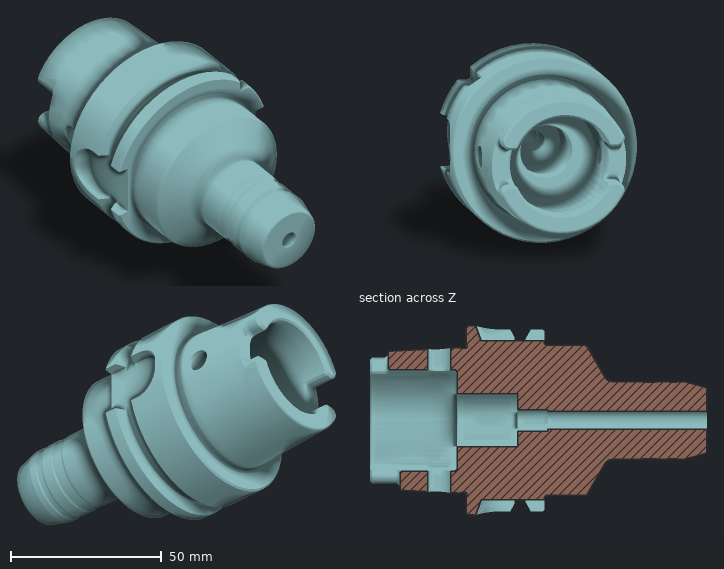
import cadquery as cq
import math


shank_length = 32.0
gauge_offset = 6.3
gauge_radius = 24.05
taper_slope = 0.05
taper_end_x = -2.15
relief_start_x = -1.2
relief_radius = 24.0
shank_end_round = 1.0

recess_depth = 0.25
recess_round = 0.75
recess_floor_radius = 24.8
recess_outer_radius = 25.5

flange_radius = 31.5
flange_width = 26.0
flange_chamfer = 0.6
flange_rear_chamfer = 0.5
groove_radius = 27.4
groove_wall_start = 16.05
groove_wall_end = 19.75
groove_wall_start_radius = 29.05
groove_wall_end_radius = 28.6
groove_flank_angle = 30.0

body_radius = 25.0
body_root_round = 1.0
cone_start_x = 40.0
cone_angle = 60.0
cone_start_round = 1.0
cone_end_round = 3.0
nose_radius = 13.0
nose_end_x = 80.0
tip_taper_x = 72.4
tip_taper_angle = 15.0
tip_round = 1.0

nose_bands = [(58.4, 63.4), (67.2, 70.2)]
band_depth = 0.25
band_edge_width = 0.7

bore_radius = 16.8
bore_depth = 29.0
bore_floor_round = 1.1
bore_mouth_chamfer = 0.6
thread_radius = 8.7
thread_depth = 20.0
thread_chamfer = 0.2
channel_radius = 2.9
channel_mouth_radius = 3.5
channel_mouth_depth = 10.0

drive_half_width = 6.1
drive_depth_front = 10.0
drive_depth_back = 6.0
drive_flare_radius = 2.85
drive_flare_tangent = 23.0
drive_floor_round = 1.5
drive_entry_chamfer = 0.75
drive_inner_y = bore_radius / 2

access_hole_radius = 3.75
access_hole_x = -9.0

keyway_half_width = 8.9
keyway_draft = 3.0
keyway_floor = 26.5
keyway_tip_x = 3.2
keyway_end_angle = 20.0
keyway_corner_radius = 8.0

notch_offset = 20.0
notch_end_radius = 8.0
notch_tangent_x = 12.85

clearance = 5.0
big = 2 * flange_radius


def taper_radius(x):
    return gauge_radius + taper_slope * (x + gauge_offset)


def tan_deg(angle):
    return math.tan(math.radians(angle))


def revolve_x(profile):
    """Revolve a closed half profile, drawn as (x, radius), about the X axis."""
    return profile.close().revolve(360, (0, 0, 0), (1, 0, 0))


def round_corner_edges(solid, x, radius, size):
    """Fillet the circular edge of the given radius at the given x."""
    tol = 0.05
    box = cq.selectors.BoxSelector(
        (x - tol, -radius - tol, -radius - tol), (x + tol, radius + tol, radius + tol)
    )
    return solid.edges(box).fillet(size)


def make_shank():
    end_radius = taper_radius(-shank_length)
    profile = (
        cq.Workplane("XY")
        .moveTo(-shank_length, 0)
        .lineTo(-shank_length, end_radius)
        .lineTo(taper_end_x, taper_radius(taper_end_x))
        .lineTo(relief_start_x, relief_radius)
        .lineTo(clearance, relief_radius)
        .lineTo(clearance, 0)
    )
    shank = round_corner_edges(revolve_x(profile), -shank_length, end_radius, shank_end_round)
    shank = shank.cut(make_drive_slot(-1, drive_depth_front))
    return shank.cut(make_drive_slot(1, drive_depth_back))


def make_flange():
    flank = tan_deg(groove_flank_angle)
    groove_start = groove_wall_start - (flange_radius - groove_wall_start_radius) * flank
    groove_end = groove_wall_end + (flange_radius - groove_wall_end_radius) * flank
    round_start = recess_depth - recess_round
    round_mid = recess_round * math.sqrt(0.5)
    profile = (
        cq.Workplane("XY")
        .moveTo(round_start, 0)
        .lineTo(round_start, relief_radius)
        .threePointArc(
            (round_start + round_mid, relief_radius + recess_round - round_mid),
            (recess_depth, relief_radius + recess_round),
        )
        .lineTo(recess_depth, recess_floor_radius)
        .lineTo(0, recess_outer_radius)
        .lineTo(0, flange_radius - flange_chamfer)
        .lineTo(flange_chamfer, flange_radius)
        .lineTo(groove_start, flange_radius)
        .lineTo(groove_wall_start, groove_wall_start_radius)
        .lineTo(groove_wall_start, groove_radius)
        .lineTo(groove_wall_end, groove_radius)
        .lineTo(groove_wall_end, groove_wall_end_radius)
        .lineTo(groove_end, flange_radius)
        .lineTo(flange_width - flange_rear_chamfer, flange_radius)
        .lineTo(flange_width, flange_radius - flange_rear_chamfer)
        .lineTo(flange_width, 0)
    )
    return revolve_x(profile)


def make_body_and_nose():
    cone_end_x = cone_start_x + (body_radius - nose_radius) / tan_deg(cone_angle)
    tip_radius = nose_radius - (nose_end_x - tip_taper_x) * tan_deg(tip_taper_angle)
    root_arc = body_root_round * (1 - math.sqrt(0.5))
    profile = (
        cq.Workplane("XY")
        .moveTo(flange_width, 0)
        .lineTo(flange_width, body_radius + body_root_round)
        .threePointArc(
            (flange_width + root_arc, body_radius + root_arc),
            (flange_width + body_root_round, body_radius),
        )
        .lineTo(cone_start_x, body_radius)
        .lineTo(cone_end_x, nose_radius)
        .lineTo(tip_taper_x, nose_radius)
        .lineTo(nose_end_x, tip_radius)
        .lineTo(nose_end_x, 0)
    )
    body = revolve_x(profile)
    body = round_corner_edges(body, cone_start_x, body_radius, cone_start_round)
    body = round_corner_edges(body, cone_end_x, nose_radius, cone_end_round)
    body = round_corner_edges(body, nose_end_x, tip_radius, tip_round)
    for start, end in nose_bands:
        body = body.cut(make_band(start, end))
    return body


def make_band(start, end):
    floor_radius = nose_radius - band_depth
    return revolve_x(
        cq.Workplane("XY")
        .moveTo(start, nose_radius)
        .lineTo(start + band_edge_width, floor_radius)
        .lineTo(end - band_edge_width, floor_radius)
        .lineTo(end, nose_radius)
        .lineTo(end, nose_radius + clearance)
        .lineTo(start, nose_radius + clearance)
    )


def make_bore():
    bore_floor_x = bore_depth - shank_length
    thread_end_x = bore_floor_x + thread_depth
    channel_mouth_x = thread_end_x + channel_mouth_depth
    arc = bore_floor_round * math.sqrt(0.5)
    return revolve_x(
        cq.Workplane("XY")
        .moveTo(-shank_length - clearance, 0)
        .lineTo(-shank_length - clearance, bore_radius)
        .lineTo(bore_floor_x - bore_floor_round, bore_radius)
        .threePointArc(
            (bore_floor_x - bore_floor_round + arc, bore_radius - bore_floor_round + arc),
            (bore_floor_x, bore_radius - bore_floor_round),
        )
        .lineTo(bore_floor_x, thread_radius + thread_chamfer)
        .lineTo(bore_floor_x + thread_chamfer, thread_radius)
        .lineTo(thread_end_x, thread_radius)
        .lineTo(thread_end_x, channel_mouth_radius)
        .lineTo(channel_mouth_x, channel_mouth_radius)
        .lineTo(channel_mouth_x, channel_radius)
        .lineTo(nose_end_x + clearance, channel_radius)
        .lineTo(nose_end_x + clearance, 0)
    )


def draw_drive_slot_section(plane, growth):
    """Draw the slot section, grown by an offset, with its mouth flaring into the shank surface."""
    half_width = drive_half_width + growth
    flare_radius = drive_flare_radius - growth
    center_z = drive_half_width + drive_flare_radius
    center_y = math.sqrt((drive_flare_tangent - drive_flare_radius) ** 2 - center_z**2)
    end_angle = math.atan2(center_z, center_y)
    mid_angle = (end_angle - math.pi / 2) / 2
    end_y = center_y + flare_radius * math.cos(end_angle)
    end_z = center_z + flare_radius * math.sin(end_angle)
    mid_y = center_y + flare_radius * math.cos(mid_angle)
    mid_z = center_z + flare_radius * math.sin(mid_angle)
    lip_y = end_y - clearance * math.sin(end_angle)
    lip_z = end_z + clearance * math.cos(end_angle)
    return (
        plane.moveTo(drive_inner_y, -half_width)
        .lineTo(drive_inner_y, half_width)
        .lineTo(center_y, half_width)
        .threePointArc((mid_y, mid_z), (end_y, end_z))
        .lineTo(lip_y, lip_z)
        .lineTo(flange_radius, lip_z)
        .lineTo(flange_radius, -lip_z)
        .lineTo(lip_y, -lip_z)
        .lineTo(end_y, -end_z)
        .threePointArc((mid_y, -mid_z), (center_y, -half_width))
        .close()
    )


def make_drive_slot(side, depth):
    """Slot in the shank end with rounded floor corners and a chamfered entry."""
    end_plane = cq.Workplane("YZ", origin=(-shank_length, 0, 0))
    slot = draw_drive_slot_section(end_plane, 0).extrude(depth)
    tol = 0.1
    floor_x = depth - shank_length
    floor_sides = cq.selectors.BoxSelector(
        (floor_x - tol, drive_inner_y + tol, -flange_radius),
        (floor_x + tol, flange_radius - tol, flange_radius),
    )
    slot = slot.edges(floor_sides).fillet(drive_floor_round)
    entry = draw_drive_slot_section(end_plane, drive_entry_chamfer)
    entry = entry.workplane(offset=drive_entry_chamfer)
    entry = draw_drive_slot_section(entry, 0).loft(ruled=True)
    slot = slot.union(entry)
    if side < 0:
        slot = slot.mirror("XZ")
    return slot


def make_keyway(side):
    """Flange keyway with drafted walls, a sloping end wall and rounded end corners."""
    end_slope = tan_deg(keyway_end_angle)
    outer_y = flange_radius + clearance
    top_x = keyway_tip_x - clearance * end_slope
    floor_x = keyway_tip_x + (flange_radius - keyway_floor) * end_slope
    outer_half_width = keyway_half_width + (outer_y - keyway_floor) * tan_deg(keyway_draft)
    rear_x = flange_width + clearance
    channel = (
        cq.Workplane("YZ", origin=(top_x, 0, 0))
        .moveTo(keyway_floor, -keyway_half_width)
        .lineTo(keyway_floor, keyway_half_width)
        .lineTo(outer_y, outer_half_width)
        .lineTo(outer_y, -outer_half_width)
        .close()
        .extrude(rear_x - top_x)
    )
    end_wedge = (
        cq.Workplane("XY")
        .moveTo(top_x, outer_y)
        .lineTo(floor_x, keyway_floor)
        .lineTo(top_x, keyway_floor)
        .close()
        .extrude(outer_half_width, both=True)
    )
    sloping_end_edges = "not (|X or |Z or #X)"
    keyway = channel.cut(end_wedge).edges(sloping_end_edges).fillet(keyway_corner_radius)
    if side < 0:
        keyway = keyway.mirror("XZ")
    return keyway


def make_notch():
    """Open corner notch in the flange with a rounded end, on the +Y +Z side."""
    tip_x = notch_tangent_x - notch_end_radius
    arc = notch_end_radius * (1 - math.sqrt(0.5))
    return (
        cq.Workplane("XZ", origin=(0, notch_offset, 0))
        .moveTo(flange_width, notch_offset)
        .lineTo(notch_tangent_x, notch_offset)
        .threePointArc((tip_x + arc, notch_offset + arc), (tip_x, notch_offset + notch_end_radius))
        .lineTo(tip_x, flange_radius)
        .lineTo(flange_width, flange_radius)
        .close()
        .extrude(-flange_radius)
    )


def chamfer_bore_mouth(part):
    """Break the edges where the bore meets the shank end and the drive slot floors."""
    mouth = cq.selectors.BoxSelector(
        (-shank_length - 0.1, -bore_radius - 0.1, -bore_radius - 0.1),
        (-shank_length + drive_depth_front + 0.1, bore_radius + 0.1, bore_radius + 0.1),
        boundingbox=True,
    )
    return part.edges(mouth).chamfer(bore_mouth_chamfer)


result = make_shank().union(make_flange()).union(make_body_and_nose())
result = result.cut(make_bore())
result = chamfer_bore_mouth(result)
access_hole = (
    cq.Workplane("XZ", origin=(access_hole_x, 0, 0))
    .circle(access_hole_radius)
    .extrude(big, both=True)
)
result = result.cut(access_hole)
for side in (-1, 1):
    result = result.cut(make_keyway(side))
result = result.cut(make_notch())